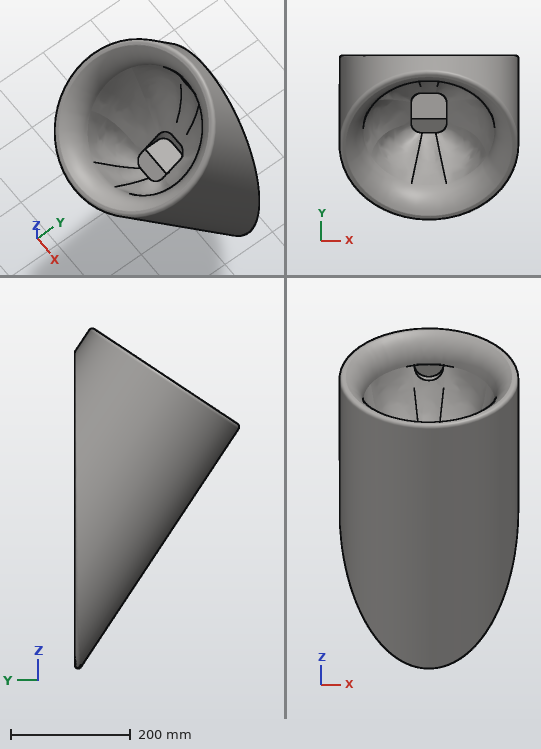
import cadquery as cq
import math

body_radius = 149.9
tilt = 33.5
rim_center_y = -152.5
rim_center_z = 488.0
body_length = 683.0
wall_fillet = 5.5

rim_fillet = 6.0
lip_radius = 139.5
lip_edge_fillet = 2.0
ring_radius = 110.0
ring_depth = 49.0

ring_flat_half = 29.0
ring_side_half = 51.0
belly_depth = 114.0
belly_half_width = 85.5
belly_half_height = 88.0
belly_center = -18.0
belly_bow = 7.0
belly_corner_bow = 19.5
mouth_depth = 176.5
mouth_half_width = 29.5
mouth_half_height = 40.0
mouth_center = -49.5
mouth_corner = 18.0

drain_floor_z = 307.0
drain_reach = 114.0
inlet_radius = 24.5
inlet_end = 110.0

straight_tolerance = 5.69e-06
angle = math.radians(tilt)
rim_plane = cq.Plane(
    origin=(0, rim_center_y, rim_center_z),
    xDir=(1, 0, 0),
    normal=(0, -math.sin(angle), math.cos(angle)),
)


def make_body():
    cylinder = cq.Workplane(rim_plane).circle(body_radius).extrude(-body_length)
    cylinder = cylinder.faces(cq.selectors.DirectionMinMaxSelector(rim_plane.zDir, True))
    cylinder = cylinder.edges().fillet(rim_fillet)
    room = 2 * body_length
    front_space = cq.Workplane("XY").box(room, room, 2 * room, centered=(True, False, True))
    front_space = front_space.translate((0, -room, 0))
    return cylinder.intersect(front_space).faces(">Y").edges().fillet(wall_fillet)


def make_lip_cut():
    inset = lip_radius - ring_radius
    lip_arc = (inset**2 + ring_depth**2) / (2 * inset)
    arc_center = ring_radius + lip_arc
    half_sweep = math.asin(ring_depth / lip_arc) / 2
    middle = (
        arc_center - lip_arc * math.cos(half_sweep),
        lip_arc * math.sin(half_sweep) - ring_depth,
    )
    profile = (
        cq.Workplane("XY")
        .moveTo(0, 0)
        .lineTo(lip_radius, 0)
        .threePointArc(middle, (ring_radius, -ring_depth))
        .lineTo(0, -ring_depth)
        .close()
    )
    cut = profile.revolve(360, (0, 0, 0), (0, 1, 0)).rotate((0, 0, 0), (1, 0, 0), 90)
    return cq.Workplane(cut.val().moved(cq.Location(rim_plane)))


def bowl_section(depth, center, half_width, half_height, flat_half, side_half, bow, corner):
    """Closed wire of four bowed sides joined by four corner arcs.

    bow is the rise of each side; corner gives the x and y of the corner arc's middle.
    """
    side_x = half_width - bow
    end_y = half_height - bow
    corner_x, corner_y = corner
    points = [
        (flat_half, end_y), (corner_x, corner_y),
        (side_x, side_half), (half_width, 0),
        (side_x, -side_half), (corner_x, -corner_y),
        (flat_half, -end_y), (0, -half_height),
        (-flat_half, -end_y), (-corner_x, -corner_y),
        (-side_x, -side_half), (-half_width, 0),
        (-side_x, side_half), (-corner_x, corner_y),
        (-flat_half, end_y), (0, half_height),
    ]
    placed = [rim_plane.toWorldCoords((x, y + center, -depth)) for x, y in points]
    edges = []
    for i in range(0, len(placed), 2):
        start, middle = placed[i], placed[i + 1]
        end = placed[(i + 2) % len(placed)]
        straight = ((start + end) * 0.5 - middle).Length < straight_tolerance
        edges.append(cq.Edge.makeLine(start, end) if straight
                     else cq.Edge.makeThreePointArc(start, middle, end))
    return cq.Wire.assembleEdges(edges)


def circle_section():
    edges = []
    flat_angle = math.asin(ring_flat_half / ring_radius)
    side_angle = math.asin(ring_side_half / ring_radius)
    quarter = math.pi / 2
    stops = [quarter - flat_angle, side_angle, -side_angle, flat_angle - quarter]
    stops += [stop - math.pi for stop in stops]
    stops.append(stops[0] - 2 * math.pi)

    def on_ring(turn):
        return rim_plane.toWorldCoords(
            (ring_radius * math.cos(turn), ring_radius * math.sin(turn), -ring_depth)
        )

    for first, last in zip(stops, stops[1:]):
        middle = (first + last) / 2
        edges.append(cq.Edge.makeThreePointArc(on_ring(first), on_ring(middle), on_ring(last)))
    return cq.Wire.assembleEdges(edges)


def make_mouth():
    diagonal = math.sqrt(0.5)
    mouth_flat = mouth_half_width - mouth_corner
    mouth_side = mouth_half_height - mouth_corner
    corner_middle = (mouth_flat + mouth_corner * diagonal, mouth_side + mouth_corner * diagonal)
    return bowl_section(mouth_depth, mouth_center, mouth_half_width, mouth_half_height,
                        mouth_flat, mouth_side, 0, corner_middle)


def make_bowl_cut():
    diagonal = math.sqrt(0.5)
    belly_flat = (ring_flat_half + mouth_half_width - mouth_corner) / 2
    belly_side = (ring_side_half + mouth_half_height - mouth_corner) / 2
    belly_corner = (
        (belly_flat + belly_half_width - belly_bow) / 2 + belly_corner_bow * diagonal,
        (belly_side + belly_half_height - belly_bow) / 2 + belly_corner_bow * diagonal,
    )
    belly = bowl_section(belly_depth, belly_center, belly_half_width, belly_half_height,
                         belly_flat, belly_side, belly_bow, belly_corner)
    return cq.Workplane(cq.Solid.makeLoft([circle_section(), belly, make_mouth()]))


def make_drain_cut():
    mouth = cq.Face.makeFromWires(make_mouth())
    drop = cq.Solid.extrudeLinear(mouth, cq.Vector(0, 0, -drain_reach))
    room = 2 * body_length
    above_floor = cq.Workplane("XY", origin=(0, 0, drain_floor_z)).rect(room, room).extrude(room)
    return above_floor.intersect(cq.Workplane(drop))


def make_inlet_cut():
    half_round = (
        cq.Workplane("XZ")
        .moveTo(-inlet_radius, -ring_depth)
        .threePointArc((0, -ring_depth - inlet_radius), (inlet_radius, -ring_depth))
        .close()
        .extrude(-inlet_end)
    )
    return cq.Workplane(half_round.val().moved(cq.Location(rim_plane)))


lipped_body = make_body().cut(make_lip_cut())
rim_face = lipped_body.faces(cq.selectors.DirectionMinMaxSelector(rim_plane.zDir, True))
lipped_body = rim_face.edges(cq.selectors.RadiusNthSelector(0)).fillet(lip_edge_fillet)

result = lipped_body.cut(make_bowl_cut()).cut(make_drain_cut()).cut(make_inlet_cut())